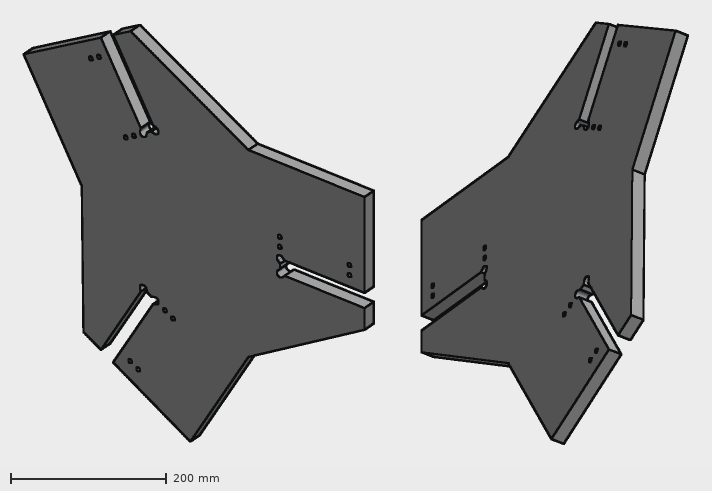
import cadquery as cq
import math

ARM_COUNT = 3
THICKNESS = 20.0

ARM_REACH = 279.5
ARM_UPPER_EDGE = 156.5
ARM_LOWER_EDGE = -44.5
NOTCH_X = ARM_UPPER_EDGE / math.tan(math.pi / ARM_COUNT)

SLOT_WIDTH = 23.0
SLOT_INNER_X = 142.0
RELIEF_RADIUS = 5.0

HOLE_DIAMETER = 6.0
HOLE_XS = (141.5, 255.0)
HOLE_ZS = (29.0, 44.5)


def rotate_point(x, z, angle):
    """Rotate a point counter-clockwise in the XZ plane, angle in degrees."""
    a = math.radians(angle)
    return (x * math.cos(a) - z * math.sin(a), x * math.sin(a) + z * math.cos(a))


def sketch_plane():
    """XZ plane on the +Y face, so extrusions run towards -Y."""
    return cq.Workplane("XZ", origin=(0, THICKNESS / 2, 0))


def make_plate():
    arm_corners = [
        (ARM_REACH, ARM_LOWER_EDGE),
        (ARM_REACH, ARM_UPPER_EDGE),
        (NOTCH_X, ARM_UPPER_EDGE),
    ]
    outline = []
    for angle in arm_angles:
        outline += [rotate_point(x, z, angle) for x, z in arm_corners]
    return sketch_plane().polyline(outline).close().extrude(THICKNESS)


def make_relief(side):
    """Round-ended groove running diagonally from inside the slot to an inner corner."""
    inset = RELIEF_RADIUS / math.sqrt(2)
    groove_length = 3 * RELIEF_RADIUS
    center_x = SLOT_INNER_X + inset / 2
    center_z = side * (SLOT_WIDTH - inset) / 2
    groove = sketch_plane().center(center_x, center_z)
    return groove.slot2D(groove_length, 2 * RELIEF_RADIUS, -45 * side).extrude(THICKNESS)


def make_slot():
    slot_length = ARM_REACH - SLOT_INNER_X
    slot_center = SLOT_INNER_X + slot_length / 2
    slot = sketch_plane().center(slot_center, 0).rect(slot_length, SLOT_WIDTH).extrude(THICKNESS)
    for side in (-1, 1):
        slot = slot.union(make_relief(side))
    return slot


def make_holes():
    centers = [(x, z) for x in HOLE_XS for z in HOLE_ZS]
    return sketch_plane().pushPoints(centers).circle(HOLE_DIAMETER / 2).extrude(THICKNESS)


arm_angles = [i * 360 / ARM_COUNT for i in range(ARM_COUNT)]
arm_cutouts = [make_slot(), make_holes()]

result = make_plate()
for arm_angle in arm_angles:
    for cutout in arm_cutouts:
        result = result.cut(cutout.rotate((0, 0, 0), (0, 1, 0), -arm_angle))